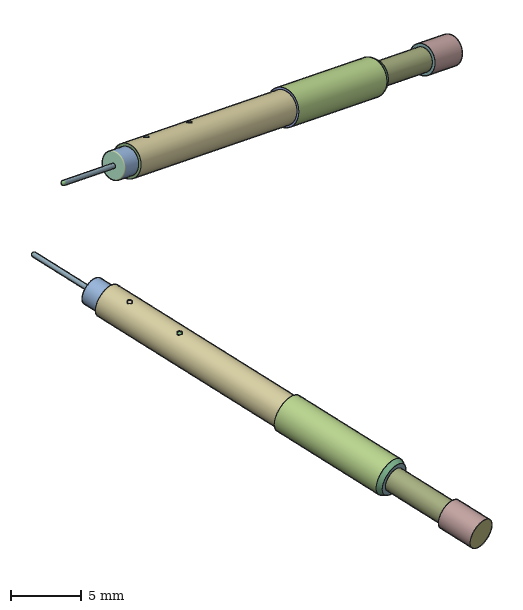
import cadquery as cq


total_length = 42.3

head_diameter = 2.4
neck_diameter = 1.9
collar_diameter = 3.0
tube_diameter = 2.65
plug_diameter = 2.2
pin_diameter = 0.4

head_length = 3.0
neck_length = 5.2
collar_length = 10.0
tube_length = 17.0
plug_length = 1.5

collar_chamfer_length = 0.4
collar_chamfer_depth = 0.2
plug_edge_radius = 0.08

dimple_diameter = 0.4
dimple_depth = 0.1
dimple_offsets = (2.1, 6.8)

head_back = total_length - head_length
collar_front = head_back - neck_length
collar_back = collar_front - collar_length
tube_back = collar_back - tube_length
plug_back = tube_back - plug_length


def cylinder(diameter, y_start, y_end):
    """Solid cylinder on the Y axis between two stations."""
    circle = cq.Workplane("XZ", origin=(0, y_start, 0)).circle(diameter / 2)
    return circle.extrude(y_start - y_end)


def make_collar():
    """Press collar with a shallow lead chamfer at its plunger end."""
    collar = cylinder(collar_diameter, collar_back, collar_front)
    radius = collar_diameter / 2
    cutter_profile = (
        cq.Workplane("XY")
        .moveTo(radius, collar_front - collar_chamfer_length)
        .lineTo(radius, collar_front)
        .lineTo(radius - collar_chamfer_depth, collar_front)
        .close()
    )
    return collar.cut(cutter_profile.revolve(360, (0, 0, 0), (0, 1, 0)))


def make_plug():
    """Insulating plug with a rounded outer edge at the pin end."""
    plug = cylinder(plug_diameter, plug_back, tube_back)
    return plug.faces("<Y").fillet(plug_edge_radius)


def make_pin():
    """Wire pin with a hemispherical tip."""
    pin_radius = pin_diameter / 2
    shank = cylinder(pin_diameter, pin_radius, plug_back)
    tip = cq.Workplane("XY", origin=(0, pin_radius, 0)).sphere(pin_radius)
    return shank.union(tip)


def make_dimple_cutter(offset):
    """Vertical cylinder that cuts one dimple into the top of the tube."""
    floor_height = tube_diameter / 2 - dimple_depth
    plane = cq.Workplane("XY", origin=(0, tube_back + offset, floor_height))
    return plane.circle(dimple_diameter / 2).extrude(2 * dimple_depth)


def make_tube():
    """Barrel tube with its row of crimp dimples."""
    tube = cylinder(tube_diameter, tube_back, collar_back)
    for offset in dimple_offsets:
        tube = tube.cut(make_dimple_cutter(offset))
    return tube


head = cylinder(head_diameter, head_back, total_length)
neck = cylinder(neck_diameter, collar_front, head_back)

result = head
for segment in (neck, make_collar(), make_tube(), make_plug(), make_pin()):
    result = result.union(segment)